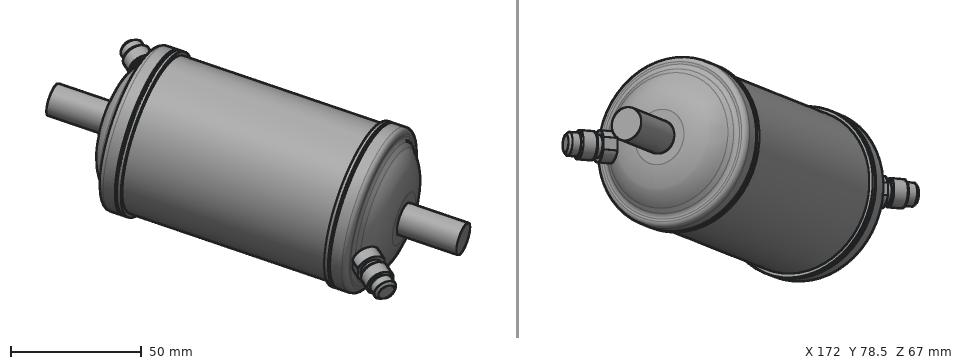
import cadquery as cq
import math

length = 172.0
tube_radius = 6.5

body_radius = 32.0
rim_radius = 33.5
rim_inner_end = 42.7
rim_outer_end = 52.3
rim_fillet = 2.2
dome_end = 61.0
dome_flat_radius = 10.8
dome_arc_radius = 22.2
dome_arc_angle = 45
cone_length = 1.7
root_fillet = 3.0

groove_center = 44.7
groove_width = 0.9
groove_depth = 1.0

fitting_angle = 40
fitting_origin = 26.7
fitting_start = 31.0
foot_end = 43.3
collar_start = 45.2
collar_end = 52.1
fitting_end = 56.8
foot_radius = 6.2
foot_across_flats = 11.4
neck_radius = 4.5
collar_radius = 5.7
tip_radius = 4.6
collar_chamfer = 0.7
tip_chamfer = 1.2


def arc_point(center, radius, angle):
    """Point on a circle in the (X, radius) plane; angle in degrees from +X."""
    return (
        center[0] + radius * math.cos(math.radians(angle)),
        center[1] + radius * math.sin(math.radians(angle)),
    )


def make_end_cap():
    """Domed cap and retaining ring at the +X end, revolved about X."""
    dome_center = (dome_end - dome_arc_radius, dome_flat_radius)
    dome_middle = arc_point(dome_center, dome_arc_radius, dome_arc_angle / 2)
    cone_outer = arc_point(dome_center, dome_arc_radius, dome_arc_angle)
    cone_inner = (cone_outer[0] - cone_length, cone_outer[1] + cone_length)

    root_direction = 180 + dome_arc_angle
    root_offset = arc_point((0, 0), root_fillet, root_direction)
    root_center = (rim_outer_end + root_fillet, cone_inner[1] - root_offset[1])
    root_start = (root_center[0] + root_offset[0], cone_inner[1])
    root_middle = arc_point(root_center, root_fillet, 180 + dome_arc_angle / 2)
    root_end = (rim_outer_end, root_center[1])

    rim_center = (rim_outer_end - rim_fillet, rim_radius - rim_fillet)
    profile = (
        cq.Workplane("XY")
        .moveTo(rim_inner_end, 0)
        .lineTo(dome_end, 0)
        .lineTo(dome_end, dome_flat_radius)
        .threePointArc(dome_middle, cone_outer)
        .lineTo(*root_start)
        .threePointArc(root_middle, root_end)
        .lineTo(rim_outer_end, rim_center[1])
        .threePointArc(arc_point(rim_center, rim_fillet, 45), (rim_center[0], rim_radius))
        .lineTo(groove_center + groove_width / 2, rim_radius)
        .lineTo(groove_center - groove_width / 2, rim_radius - groove_depth)
        .lineTo(groove_center - groove_width / 2, rim_radius)
        .lineTo(rim_inner_end, rim_radius)
        .close()
    )
    return profile.revolve(360, (0, 0, 0), (1, 0, 0))


def cylinder(radius, start, end):
    """Cylinder along +X between two stations."""
    return cq.Workplane("YZ").workplane(offset=start).circle(radius).extrude(end - start)


def make_vessel():
    """Cylindrical body with a cap at each end."""
    cap = make_end_cap()
    body = cylinder(body_radius, -rim_inner_end, rim_inner_end)
    return body.union(cap).union(cap.mirror("YZ"))


def make_fitting():
    """Fitting on the +X dome, tilted toward -Y."""
    foot = cylinder(foot_radius, fitting_start, foot_end)
    flats = cq.Workplane("XY").box(2 * foot_end, foot_across_flats, 2 * foot_radius)
    foot = foot.intersect(flats)
    neck = cylinder(neck_radius, fitting_start, collar_end)
    collar = cylinder(collar_radius, collar_start, collar_end).edges().chamfer(collar_chamfer)
    tip = cylinder(tip_radius, collar_start, fitting_end).faces(">X").edges().chamfer(tip_chamfer)
    fitting = foot.union(neck).union(collar).union(tip)
    fitting = fitting.rotate((0, 0, 0), (0, 0, 1), -fitting_angle)
    return fitting.translate((fitting_origin, 0, 0))


tube = cylinder(tube_radius, -length / 2, length / 2)
fitting = make_fitting()
opposite_fitting = fitting.rotate((0, 0, 0), (0, 0, 1), 180)
result = make_vessel().union(tube).union(fitting).union(opposite_fitting)